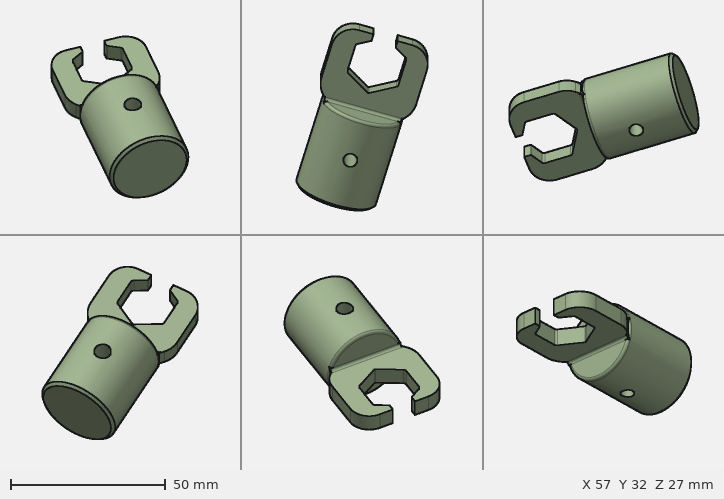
import cadquery as cq
import math

total_length = 57.0
fork_width = 32.0
fork_thickness = 6.0
body_diameter = 27.0
body_length = 31.0
edge_size = 1.0

tip_corner_radius = 7.0
shoulder_radius = 8.01
shoulder_start_x = 19.05
shoulder_angle = math.radians(40)
neck_width = 25.9

hex_flat_width = 17.15
hex_center_x = 9.9
mouth_width = 8.1
mouth_edge_radius = 0.35
inner_corner_radius = 0.45

cross_hole_x = 40.0
upper_hole_diameter = 5.5
lower_hole_diameter = 4.5

body_radius = body_diameter / 2
body_front_x = total_length - body_length
half_fork = fork_width / 2
half_neck = neck_width / 2
half_thickness = fork_thickness / 2


def make_body():
    """Round body along X with a rounded front rim and a chamfered rear rim."""
    body = cq.Workplane("YZ").workplane(offset=body_front_x).circle(body_radius).extrude(body_length)
    return body.faces("<X").edges().fillet(edge_size).faces(">X").edges().chamfer(edge_size)


def make_fork_blank():
    """Flat plate with round shoulders that narrow to a neck buried in the body."""
    center_y = half_fork - shoulder_radius

    def shoulder_point(angle):
        return (
            shoulder_start_x + shoulder_radius * math.sin(angle),
            center_y + shoulder_radius * math.cos(angle),
        )

    shoulder_middle = shoulder_point(shoulder_angle / 2)
    shoulder_end = shoulder_point(shoulder_angle)
    neck_start_x = shoulder_end[0] + (shoulder_end[1] - half_neck) / math.tan(shoulder_angle)
    neck_end_x = body_front_x + 2 * edge_size
    upper_half = (
        cq.Workplane("XY")
        .workplane(offset=-half_thickness)
        .lineTo(0, half_fork)
        .lineTo(shoulder_start_x, half_fork)
        .threePointArc(shoulder_middle, shoulder_end)
        .lineTo(neck_start_x, half_neck)
        .lineTo(neck_end_x, half_neck)
        .lineTo(neck_end_x, 0)
        .close()
        .extrude(fork_thickness)
    )
    blank = upper_half.union(upper_half.mirror("XZ"))
    return blank.edges("|Z and <X").fillet(tip_corner_radius)


def make_jaw():
    """Hexagon with rounded corners and a mouth open to the tip."""
    hex_corner_diameter = hex_flat_width / math.cos(math.radians(30))
    hexagon = (
        cq.Workplane("XY")
        .workplane(offset=-half_thickness)
        .center(hex_center_x, 0)
        .polygon(6, hex_corner_diameter)
        .extrude(fork_thickness)
    )
    hexagon = hexagon.edges("|Z and (not >X) and (not <X)").fillet(edge_size)
    hexagon = hexagon.edges("|Z and >X").fillet(inner_corner_radius)
    mouth = cq.Workplane("XY").box(hex_center_x, mouth_width, fork_thickness, centered=(False, True, True))
    jaw = hexagon.union(mouth)
    mouth_edge_x = hex_center_x - hex_corner_diameter / 2 + mouth_width / 2 * math.tan(math.radians(30))
    mouth_edges = cq.selectors.BoxSelector(
        (mouth_edge_x - mouth_edge_radius, -mouth_width, -fork_thickness),
        (mouth_edge_x + mouth_edge_radius, mouth_width, fork_thickness),
    )
    return jaw.edges("|Z").edges(mouth_edges).fillet(mouth_edge_radius)


def make_root_fillet():
    """Concave fillet between the upper fork face and the front of the body."""
    fillet_start_x = body_front_x - edge_size
    fillet_top_z = half_thickness + edge_size
    back_x = body_front_x + edge_size
    bend = edge_size * math.sqrt(0.5)
    strip = (
        cq.Workplane("XZ")
        .workplane(offset=-half_neck)
        .moveTo(fillet_start_x, half_thickness)
        .threePointArc((fillet_start_x + bend, fillet_top_z - bend), (body_front_x, fillet_top_z))
        .lineTo(back_x, fillet_top_z)
        .lineTo(back_x, 0)
        .lineTo(fillet_start_x, 0)
        .close()
        .extrude(neck_width)
    )
    envelope = cq.Workplane("YZ").circle(body_radius).extrude(total_length)
    return strip.intersect(envelope)


def make_cross_hole():
    """Vertical hole: wide above the body axis, tapering to a narrower lower part."""
    upper_radius = upper_hole_diameter / 2
    lower_radius = lower_hole_diameter / 2
    taper_depth = upper_radius - lower_radius
    profile = (
        cq.Workplane("XZ")
        .center(cross_hole_x, 0)
        .moveTo(0, body_radius)
        .lineTo(upper_radius, body_radius)
        .lineTo(upper_radius, 0)
        .lineTo(lower_radius, -taper_depth)
        .lineTo(lower_radius, -body_radius)
        .lineTo(0, -body_radius)
        .close()
    )
    return profile.revolve(360, (0, 0), (0, 1))


root_fillet = make_root_fillet()
fork = make_fork_blank().cut(make_jaw())
result = (
    make_body()
    .union(fork)
    .union(root_fillet)
    .union(root_fillet.mirror("XY"))
    .cut(make_cross_hole())
)